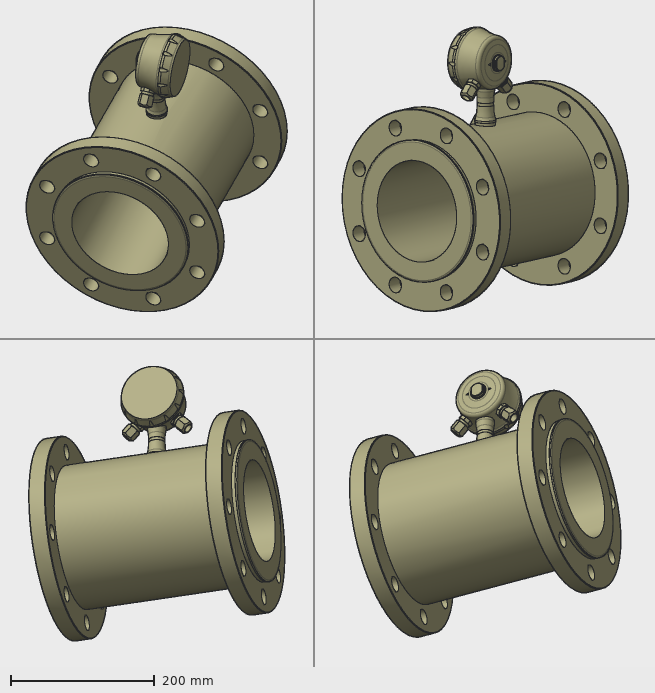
import cadquery as cq
import math

TOTAL_LENGTH = 300.0
BORE_D = 143.0
TUBE_D = 203.0

FLANGE_D = 285.0
FLANGE_THICKNESS = 24.5
FLANGE_CHAMFER = 1.0
FACE_D = 200.0
FACE_PROJECTION = 8.5
FACE_RING = 3.2
FACE_CHAMFER = 2.5
FACE_CHAMFER_DEPTH = 0.8
FACE_STEP_D = FACE_D - 1.0
BOLT_CIRCLE_D = 240.0
BOLT_HOLE_D = 22.0
BOLT_COUNT = 8

NECK_BASE_D = 28.5
NECK_BEAD_D = 30.0
NECK_SHOULDER_D = 26.4
NECK_STEM_D = 23.5
FLARE_WAIST_D = 24.1
NECK_GROOVE_D = 22.8
NECK_TOP_D = 26.4
NECK_ROOT_Z = 0.45 * TUBE_D
BEAD_BOTTOM_Z = 105.4
BEAD_TOP_Z = 108.3
SHOULDER_Z = 113.0
STEM_Z = 128.5
GROOVE_TOP_Z = 133.0
COLLAR_Z = 140.7
NECK_TOP_Z = 149.5
NECK_END_Z = 175.0

HOUSING_MAX_D = 91.2
HOUSING_Z = 190.72
BACK_X = -19.0
BACK_D = 65.4
BACK_EDGE_X = -13.7
BACK_EDGE_D = 76.0
WAIST_X = 0.5
WAIST_D = 79.8
BODY_FRONT_X = 15.0
BODY_FRONT_D = 88.0

LID_BAND_START_X = 18.0
LID_BAND_END_X = 21.6
LID_TAPER_END_X = 31.8
LID_TAPER_END_D = 83.7
LID_END_X = 34.6
LID_END_D = 81.2
NOTCH_COUNT = 12
NOTCH_START_X = 17.0
NOTCH_WIDEST_X = 19.5
NOTCH_TIP_X = 31.5
NOTCH_AXIS_OFFSET = 2.0
NOTCH_START_R = 3.3
NOTCH_R = 4.0

BACK_STEP_X = -20.0
BACK_STEP_D = 51.0
KNOB_BASE_X = -21.8
KNOB_BASE_D = 30.0
KNOB_RIM_D = 23.5
KNOB_RIM_X = -23.0
KNOB_D = 21.0
KNOB_FACE_X = -27.6
KNOB_APEX_X = -28.5
KNOB_CHAMFER = 0.8
KNOB_BEVEL_START_X = -24.0
KNOB_BEVEL_WIDTH = 16.8
GRIP_GROOVE_COUNT = 5
GRIP_GROOVE_PITCH = 2.4
GRIP_GROOVE_WIDTH = 1.2
GRIP_GROOVE_DEPTH = 2.1
POINTER_INNER_R = 15.5
POINTER_OUTER_R = 19.0
POINTER_HALF_WIDTH = 1.7

GLAND_X = -2.0
GLAND_ANGLE = 45.0
GLAND_STEM_D = 16.69
LOCKNUT_START_R = 30.0
LOCKNUT_END_R = 43.2
LOCKNUT_SIDES = 8
LOCKNUT_CORNER_D = 20.8
CAP_START_R = 47.0
CAP_END_R = 64.0
CAP_CORNER_D = 20.8
CAP_SIDES = 6
CAP_INNER_EDGE_D = 17.2
CAP_INNER_CHAMFER = 0.9
CAP_OUTER_EDGE_D = 14.6
CAP_OUTER_CHAMFER = 3.2
CABLE_HOLE_D = 12.0
CABLE_HOLE_DEPTH = 10.0


def make_flange():
    """Drilled flange with its raised face, at the +Y end."""
    end_y = TOTAL_LENGTH / 2
    front_y = end_y - FACE_PROJECTION
    back_y = front_y - FLANGE_THICKNESS
    outline = [
        (0, back_y),
        (FLANGE_D / 2 - FLANGE_CHAMFER, back_y),
        (FLANGE_D / 2, back_y + FLANGE_CHAMFER),
        (FLANGE_D / 2, front_y - FLANGE_CHAMFER),
        (FLANGE_D / 2 - FLANGE_CHAMFER, front_y),
        (FACE_STEP_D / 2, front_y),
        (FACE_STEP_D / 2, end_y - FACE_RING),
        (FACE_D / 2, end_y - FACE_RING),
        (FACE_D / 2, end_y - FACE_CHAMFER_DEPTH),
        (FACE_D / 2 - FACE_CHAMFER, end_y),
        (0, end_y),
    ]
    disc = cq.Workplane("XY").polyline(outline).close().revolve(360, (0, 0, 0), (0, 1, 0))
    holes = (
        cq.Workplane("XZ", origin=(0, front_y, 0))
        .polarArray(BOLT_CIRCLE_D / 2, 180 / BOLT_COUNT, 360, BOLT_COUNT)
        .circle(BOLT_HOLE_D / 2)
        .extrude(FLANGE_THICKNESS)
    )
    return disc.cut(holes)


def make_tube():
    """Solid tube blank between the flanges."""
    half_length = TOTAL_LENGTH / 2 - FACE_PROJECTION - FLANGE_THICKNESS
    return cq.Workplane("XZ").circle(TUBE_D / 2).extrude(half_length, both=True)


def make_bore():
    """Straight bore through the tube and both flanges."""
    return cq.Workplane("XZ").circle(BORE_D / 2).extrude(TOTAL_LENGTH / 2, both=True)


def make_neck():
    """Post with a beaded foot, a flared stem, a shallow groove and a wider top."""
    flare_mid = (FLARE_WAIST_D / 2, (SHOULDER_Z + STEM_Z) / 2)
    return (
        cq.Workplane("XZ")
        .moveTo(0, NECK_ROOT_Z)
        .lineTo(NECK_BASE_D / 2, NECK_ROOT_Z)
        .lineTo(NECK_BASE_D / 2, BEAD_BOTTOM_Z)
        .lineTo(NECK_BEAD_D / 2, BEAD_BOTTOM_Z)
        .lineTo(NECK_BEAD_D / 2, BEAD_TOP_Z)
        .lineTo(NECK_SHOULDER_D / 2, SHOULDER_Z)
        .threePointArc(flare_mid, (NECK_STEM_D / 2, STEM_Z))
        .lineTo(NECK_GROOVE_D / 2, STEM_Z)
        .lineTo(NECK_GROOVE_D / 2, GROOVE_TOP_Z)
        .lineTo(NECK_STEM_D / 2, GROOVE_TOP_Z)
        .lineTo(NECK_STEM_D / 2, COLLAR_Z)
        .lineTo(NECK_TOP_D / 2, NECK_TOP_Z)
        .lineTo(NECK_TOP_D / 2, NECK_END_Z)
        .lineTo(0, NECK_END_Z)
        .close()
        .revolve(360, (0, 0, 0), (0, 1, 0))
    )


def make_housing():
    """Housing, lid and knob turned in one outline about the X axis."""
    edge_r = BACK_EDGE_D / 2
    back_r = BACK_D / 2
    bulge = math.sin(math.radians(45))
    edge_mid = (
        BACK_EDGE_X - (BACK_EDGE_X - BACK_X) * bulge,
        back_r + (edge_r - back_r) * bulge,
    )
    return (
        cq.Workplane("XY")
        .moveTo(KNOB_APEX_X, 0)
        .lineTo(KNOB_FACE_X, KNOB_D / 2 - KNOB_CHAMFER)
        .lineTo(KNOB_FACE_X + KNOB_CHAMFER, KNOB_D / 2)
        .lineTo(KNOB_RIM_X, KNOB_D / 2)
        .lineTo(KNOB_RIM_X, KNOB_RIM_D / 2)
        .lineTo(KNOB_BASE_X, KNOB_RIM_D / 2)
        .lineTo(KNOB_BASE_X, KNOB_BASE_D / 2)
        .lineTo(BACK_STEP_X, BACK_STEP_D / 2)
        .lineTo(BACK_X, BACK_D / 2)
        .threePointArc(edge_mid, (BACK_EDGE_X, edge_r))
        .threePointArc((WAIST_X, WAIST_D / 2), (BODY_FRONT_X, BODY_FRONT_D / 2))
        .lineTo(LID_BAND_START_X, HOUSING_MAX_D / 2)
        .lineTo(LID_BAND_END_X, HOUSING_MAX_D / 2)
        .lineTo(LID_TAPER_END_X, LID_TAPER_END_D / 2)
        .lineTo(LID_END_X, LID_END_D / 2)
        .lineTo(LID_END_X, 0)
        .close()
        .revolve(360, (0, 0, 0), (1, 0, 0))
    )


def cut_lid_notches(housing):
    """Pointed finger notches around the rim of the lid, following its taper."""
    cutter = (
        cq.Workplane("XZ")
        .polyline([
            (NOTCH_START_X, 0),
            (NOTCH_START_X, NOTCH_START_R),
            (NOTCH_WIDEST_X, NOTCH_R),
            (NOTCH_TIP_X, NOTCH_AXIS_OFFSET),
            (NOTCH_TIP_X, 0),
        ])
        .close()
        .revolve(360, (0, 0, 0), (1, 0, 0))
    )
    drop = (HOUSING_MAX_D - LID_TAPER_END_D) / 2
    taper = math.degrees(math.atan2(drop, LID_TAPER_END_X - LID_BAND_END_X))
    pivot = (LID_BAND_END_X, 0, 0)
    axis_r = HOUSING_MAX_D / 2 + NOTCH_AXIS_OFFSET
    cutter = cutter.rotate(pivot, (LID_BAND_END_X, 1, 0), taper).translate((0, 0, axis_r))
    for index in range(NOTCH_COUNT):
        housing = housing.cut(cutter.rotate((0, 0, 0), (1, 0, 0), index * 360 / NOTCH_COUNT))
    return housing


def cut_knob_grips(housing):
    """Bevel the +Y and -Y sides of the knob and groove them along X for grip."""
    bevel = (
        cq.Workplane("XY")
        .polyline([
            (KNOB_APEX_X, KNOB_BEVEL_WIDTH / 2),
            (KNOB_FACE_X, KNOB_BEVEL_WIDTH / 2),
            (KNOB_BEVEL_START_X, KNOB_D / 2),
            (KNOB_APEX_X, KNOB_D / 2),
        ])
        .close()
        .extrude(KNOB_D / 2, both=True)
    )
    groove_length = KNOB_RIM_X - KNOB_FACE_X
    grooves = (
        cq.Workplane("YZ", origin=(KNOB_FACE_X, KNOB_D / 2, 0))
        .rarray(1, GRIP_GROOVE_PITCH, 1, GRIP_GROOVE_COUNT)
        .rect(2 * GRIP_GROOVE_DEPTH, GRIP_GROOVE_WIDTH)
        .extrude(groove_length)
    )
    for cutter in (bevel, grooves):
        housing = housing.cut(cutter).cut(cutter.mirror("XZ"))
    return housing


def make_pointers():
    """Two triangular marks beside the knob, pointing away from it along Y."""
    pointer = (
        cq.Workplane("YZ", origin=(KNOB_BASE_X, 0, 0))
        .polyline([
            (POINTER_INNER_R, -POINTER_HALF_WIDTH),
            (POINTER_OUTER_R, 0),
            (POINTER_INNER_R, POINTER_HALF_WIDTH),
        ])
        .close()
        .extrude(BACK_X - KNOB_BASE_X)
    )
    return pointer.union(pointer.mirror("XZ"))


def make_gland():
    """Cable gland pointing along -Z from the housing axis, before tilting."""
    stem = (
        cq.Workplane("XY", origin=(0, 0, -CAP_START_R))
        .circle(GLAND_STEM_D / 2)
        .extrude(CAP_START_R - LOCKNUT_END_R)
    )
    locknut = (
        cq.Workplane("XY")
        .transformed(rotate=(0, 0, 180 / LOCKNUT_SIDES), offset=(0, 0, -LOCKNUT_START_R))
        .polygon(LOCKNUT_SIDES, LOCKNUT_CORNER_D)
        .extrude(LOCKNUT_START_R - LOCKNUT_END_R)
    )
    chamfer_envelope = (
        cq.Workplane("XZ")
        .polyline([
            (0, -CAP_START_R),
            (CAP_INNER_EDGE_D / 2, -CAP_START_R),
            (CAP_CORNER_D / 2, -CAP_START_R - CAP_INNER_CHAMFER),
            (CAP_CORNER_D / 2, -CAP_END_R + CAP_OUTER_CHAMFER),
            (CAP_OUTER_EDGE_D / 2, -CAP_END_R),
            (0, -CAP_END_R),
        ])
        .close()
        .revolve(360, (0, 0, 0), (0, 1, 0))
    )
    cap = (
        cq.Workplane("XY", origin=(0, 0, -CAP_START_R))
        .polygon(CAP_SIDES, CAP_CORNER_D)
        .extrude(CAP_START_R - CAP_END_R)
        .intersect(chamfer_envelope)
    )
    cable_hole = (
        cq.Workplane("XY", origin=(0, 0, -CAP_END_R))
        .circle(CABLE_HOLE_D / 2)
        .extrude(CABLE_HOLE_DEPTH)
    )
    gland = stem.union(locknut).union(cap).cut(cable_hole)
    return gland.translate((GLAND_X, 0, 0))


head = cut_knob_grips(cut_lid_notches(make_housing())).union(make_pointers())
for side in (-1, 1):
    head = head.union(make_gland().rotate((0, 0, 0), (1, 0, 0), side * GLAND_ANGLE))

flange = make_flange()
result = (
    make_tube()
    .union(flange)
    .union(flange.mirror("XZ"))
    .union(make_neck())
    .union(head.translate((0, 0, HOUSING_Z)))
    .cut(make_bore())
)